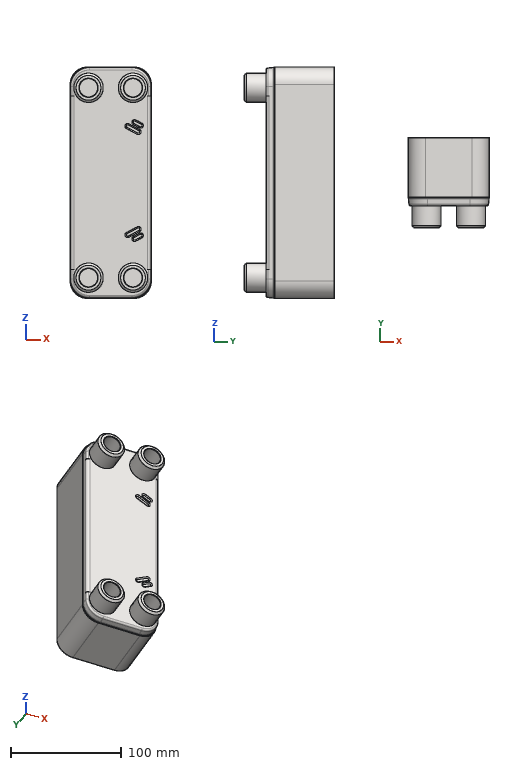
import cadquery as cq

WIDTH = 73.7
HEIGHT = 210.0
TOTAL_DEPTH = 82.0

BLOCK_DEPTH = 54.0
BLOCK_CORNER_RADIUS = 16.0
SHEET_THICKNESS = 0.6
SHEET_FRONT = BLOCK_DEPTH + SHEET_THICKNESS

COVER_THICKNESS = 7.4
COVER_RIM_THICKNESS = 1.3
COVER_SIDE_INSET = 0.2
COVER_END_INSET = 0.5
COVER_CORNER_RADIUS = 17.2
COVER_DRAFT = 6.0
COVER_EDGE_RADIUS = 1.9
LONG_SIDE_EDGE_RADIUS = 3.2
LONG_SIDE_EDGE_LENGTH = 157.5
COVER_FRONT = SHEET_FRONT + COVER_THICKNESS

NOZZLE_X = 20.2
NOZZLE_Z = 86.0
NOZZLE_DIAMETER = 26.7
NOZZLE_CHAMFER = 2.0
NOZZLE_LENGTH = TOTAL_DEPTH - COVER_FRONT
BORE_DIAMETER = 16.5
BORE_CHAMFER = 0.5

MARK_X = 20.2
UPPER_MARK_Z = 48.7
LOWER_MARK_Z = -44.7
MARK_TILT = 28.0
MARK_DEPTH = 0.8
MARK_WALL_ANGLE = 55.0
SLOT_WIDTH = 4.8
LONG_SLOT_LENGTH = 16.0
SHORT_SLOT_LENGTH = 11.1
SHORT_SLOT_SHIFT_X = 4.2
SHORT_SLOT_SHIFT_Z = 4.6


def plane_at(depth):
    """Plane facing -Y at the given distance in front of the back face; local x is X, local y is Z."""
    return cq.Workplane("XZ", origin=(0, -depth, 0))


def rounded_slab(width, height, corner_radius, start, thickness):
    slab = plane_at(start).rect(width, height).extrude(thickness)
    return slab.edges("|Y").fillet(corner_radius)


def make_block():
    return rounded_slab(WIDTH, HEIGHT, BLOCK_CORNER_RADIUS, 0, BLOCK_DEPTH)


def make_sheet():
    return rounded_slab(WIDTH, HEIGHT, BLOCK_CORNER_RADIUS, BLOCK_DEPTH, SHEET_THICKNESS)


def drafted_cover(edge_radius):
    width = WIDTH - 2 * COVER_SIDE_INSET
    height = HEIGHT - 2 * COVER_END_INSET
    outline = cq.Sketch().rect(width, height).vertices().fillet(COVER_CORNER_RADIUS)
    rim = plane_at(SHEET_FRONT).placeSketch(outline).extrude(COVER_RIM_THICKNESS)
    drafted_thickness = COVER_THICKNESS - COVER_RIM_THICKNESS
    raised = plane_at(SHEET_FRONT + COVER_RIM_THICKNESS).placeSketch(outline)
    slab = raised.extrude(drafted_thickness, taper=COVER_DRAFT).union(rim)
    return slab.faces("<Y").edges().fillet(edge_radius)


def slot_recess(x, z, length, tilt):
    outline = cq.Sketch().slot(length - SLOT_WIDTH, SLOT_WIDTH, angle=tilt)
    recess = plane_at(COVER_FRONT).center(x, z).placeSketch(outline)
    return recess.extrude(-MARK_DEPTH, taper=MARK_WALL_ANGLE)


def mark_recess(z, side):
    """Recess of one mark; side is +1 if the short slot lies above the long one, -1 if below."""
    tilt = -side * MARK_TILT
    long_slot = slot_recess(MARK_X, z, LONG_SLOT_LENGTH, tilt)
    short_x = MARK_X + SHORT_SLOT_SHIFT_X
    short_z = z + side * SHORT_SLOT_SHIFT_Z
    return long_slot.union(slot_recess(short_x, short_z, SHORT_SLOT_LENGTH, tilt))


def make_cover():
    middle = cq.Workplane("XY").box(2 * WIDTH, 2 * TOTAL_DEPTH, LONG_SIDE_EDGE_LENGTH)
    ends = drafted_cover(COVER_EDGE_RADIUS).cut(middle)
    cover = drafted_cover(LONG_SIDE_EDGE_RADIUS).intersect(middle).union(ends)
    for z, side in ((UPPER_MARK_Z, 1), (LOWER_MARK_Z, -1)):
        cover = cover.cut(mark_recess(z, side))
    return cover


def make_nozzle(x, z):
    nozzle = plane_at(COVER_FRONT).center(x, z).circle(NOZZLE_DIAMETER / 2).extrude(NOZZLE_LENGTH)
    nozzle = nozzle.faces("<Y").chamfer(NOZZLE_CHAMFER)
    nozzle = nozzle.faces("<Y").workplane().hole(BORE_DIAMETER)
    return nozzle.faces("<Y").edges(cq.selectors.RadiusNthSelector(0)).chamfer(BORE_CHAMFER)


block = make_block()
sheet = make_sheet()
cover = make_cover()
nozzles = [make_nozzle(x, z) for x in (-NOZZLE_X, NOZZLE_X) for z in (-NOZZLE_Z, NOZZLE_Z)]

result = cq.Compound.makeCompound(
    [block.val(), sheet.val(), cover.val(), *[nozzle.val() for nozzle in nozzles]]
)